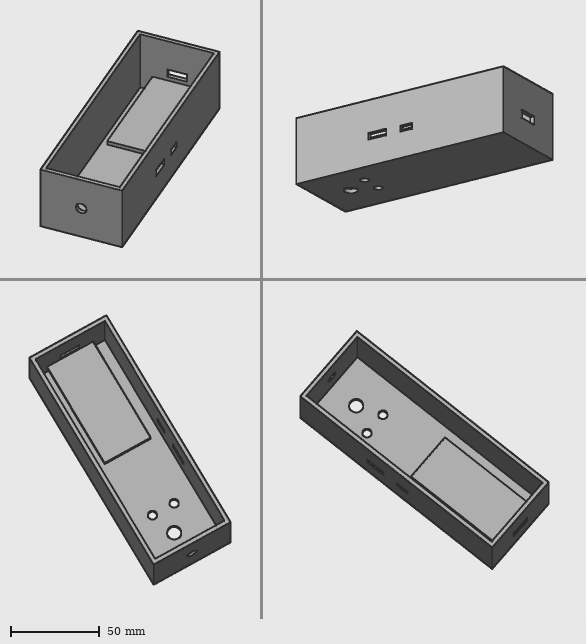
import cadquery as cq

WIDTH = 50.0
LENGTH = 140.0
HEIGHT = 40.0
WALL = 2.5
FLOOR = 2.5
INNER_WIDTH = WIDTH - 2 * WALL
INNER_LENGTH = LENGTH - 2 * WALL

CABLE_HOLE_DIAMETER = 6.5
LARGE_FLOOR_HOLE_DIAMETER = 8.0
LARGE_FLOOR_HOLE_Y = -49.8
SMALL_FLOOR_HOLE_DIAMETER = 5.2
SMALL_FLOOR_HOLES_Y = -34.9
SMALL_FLOOR_HOLES_X = (-5.5, 8.5)

REAR_SLOT_WIDTH = 12.0
REAR_SLOT_HEIGHT = 5.0
REAR_SLOT_TOP = HEIGHT / 2

SIDE_SLOT_BOTTOM = 16.0
SHORT_SLOT_Y = 4.2
SHORT_SLOT_LENGTH = 7.8
SHORT_SLOT_HEIGHT = 3.6
LONG_SLOT_Y = -15.3
LONG_SLOT_LENGTH = 11.9
LONG_SLOT_HEIGHT = 4.0

BOARD_WIDTH = 30.0
BOARD_LENGTH = 65.0
BOARD_THICKNESS = 2.5
BOARD_TOP = 12.3

ON_BASE = (True, True, False)


def floor_hole(diameter, x, y):
    """Cutter for a round hole through the floor."""
    return cq.Workplane("XY").center(x, y).circle(diameter / 2).extrude(FLOOR)


def cable_hole():
    """Cutter for the round hole at the middle of the -Y wall."""
    return (
        cq.Workplane("XZ", origin=(0, -LENGTH / 2, HEIGHT / 2))
        .circle(CABLE_HOLE_DIAMETER / 2)
        .extrude(-WALL)
    )


def rear_slot():
    """Cutter for the slot through the +Y wall."""
    return (
        cq.Workplane("XY")
        .box(REAR_SLOT_WIDTH, WALL, REAR_SLOT_HEIGHT, centered=ON_BASE)
        .translate((0, (LENGTH - WALL) / 2, REAR_SLOT_TOP - REAR_SLOT_HEIGHT))
    )


def side_slot(y, length, height):
    """Cutter for a slot through the +X wall."""
    return (
        cq.Workplane("XY")
        .box(WALL, length, height, centered=ON_BASE)
        .translate(((WIDTH - WALL) / 2, y, SIDE_SLOT_BOTTOM))
    )


def make_housing():
    cavity = (
        cq.Workplane("XY", origin=(0, 0, FLOOR))
        .box(INNER_WIDTH, INNER_LENGTH, HEIGHT - FLOOR, centered=ON_BASE)
    )
    body = cq.Workplane("XY").box(WIDTH, LENGTH, HEIGHT, centered=ON_BASE).cut(cavity)
    body = body.cut(cable_hole()).cut(rear_slot())
    body = body.cut(side_slot(SHORT_SLOT_Y, SHORT_SLOT_LENGTH, SHORT_SLOT_HEIGHT))
    body = body.cut(side_slot(LONG_SLOT_Y, LONG_SLOT_LENGTH, LONG_SLOT_HEIGHT))
    body = body.cut(floor_hole(LARGE_FLOOR_HOLE_DIAMETER, 0, LARGE_FLOOR_HOLE_Y))
    for x in SMALL_FLOOR_HOLES_X:
        body = body.cut(floor_hole(SMALL_FLOOR_HOLE_DIAMETER, x, SMALL_FLOOR_HOLES_Y))
    return body


def make_board():
    center_y = (INNER_LENGTH - BOARD_LENGTH) / 2
    return (
        cq.Workplane("XY")
        .box(BOARD_WIDTH, BOARD_LENGTH, BOARD_THICKNESS, centered=ON_BASE)
        .translate((0, center_y, BOARD_TOP - BOARD_THICKNESS))
    )


housing = make_housing()
board = make_board()

result = cq.Compound.makeCompound([housing.val(), board.val()])